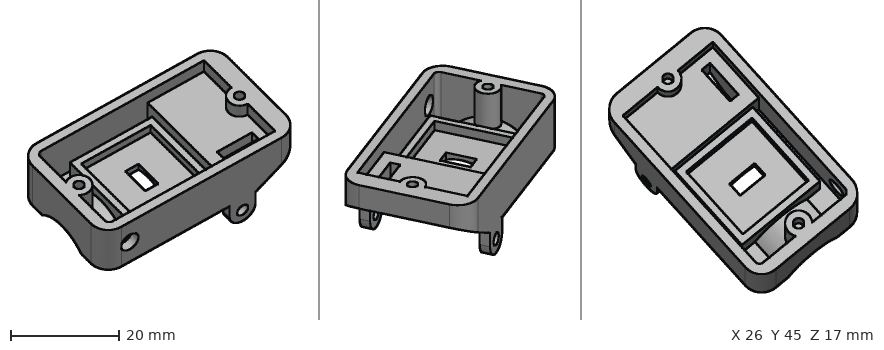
import cadquery as cq

length = 45.0
width = 26.0
body_height = 11.0
corner_radius = 4.0

cavity_width = 21.85
cavity_back = 18.5
cavity_front = -20.0
cavity_corner_radius = 1.0
low_floor = 1.0
shelf_floor = 7.95

platform_side = 19.0
platform_y = -4.0
platform_top = 5.4
pocket_side = 15.98
pocket_floor = 3.4
shelf_edge = platform_y + platform_side / 2

centre_slot_x = 6.08
centre_slot_y = 2.95
side_slot_x = 2.0
side_slot_y = 8.0
side_slot_centre = (7.5, 12.45)

boss_diameter = 5.0
screw_diameter = 2.02
boss_y = 18.5

side_hole_diameter = 3.95
side_hole_y = -16.5
side_hole_z = body_height / 2

groove_radius = 8.5
groove_height = 2.45
groove_axis_z = groove_height - groove_radius
shell_radius = groove_radius + pocket_floor - groove_height

lug_thickness = 2.1
lug_width = 6.0
lug_y = 9.5
lug_drop = 3.0
lug_hole_diameter = 2.5
slope_start = lug_y + lug_width / 2
slope_rise = 5.9


def block(size_x, size_y, bottom, top, x=0, y=0):
    """Rectangular block centred on (x, y), from bottom to top."""
    base = cq.Workplane("XY", origin=(x, y, bottom))
    return base.rect(size_x, size_y).extrude(top - bottom)


def long_cylinder(radius, front, back):
    """Cylinder about the groove axis between two Y positions."""
    base = cq.Workplane("XZ", origin=(0, front, groove_axis_z))
    return base.circle(radius).extrude(front - back)


def hinge_lug(left_x):
    """Rounded lug below one long side, with its pin hole."""
    base = cq.Workplane("YZ", origin=(left_x, lug_y, 0))
    half = lug_width / 2
    lug = (
        base.moveTo(-half, low_floor)
        .lineTo(-half, -lug_drop)
        .threePointArc((0, -lug_drop - half), (half, -lug_drop))
        .lineTo(half, low_floor)
        .close()
        .extrude(lug_thickness)
    )
    hole = base.center(0, -lug_drop).circle(lug_hole_diameter / 2).extrude(lug_thickness)
    return lug.cut(hole)


def slope_cutter():
    """Wedge that slopes the underside up towards the back."""
    return (
        cq.Workplane("YZ", origin=(-width / 2, 0, 0))
        .polyline([(slope_start, 0), (length / 2, slope_rise), (length / 2, 0)])
        .close()
        .extrude(width)
    )


def interior():
    """Empty space of the cavity around its shelf, platform and groove shell."""
    cavity_length = cavity_back - cavity_front
    cavity_y = (cavity_back + cavity_front) / 2
    space = block(cavity_width, cavity_length, low_floor, body_height, y=cavity_y)
    space = space.edges("|Z and <Y").fillet(cavity_corner_radius)
    shelf_length = cavity_back - shelf_edge
    shelf_y = (cavity_back + shelf_edge) / 2
    space = space.cut(block(cavity_width, shelf_length, low_floor, shelf_floor, y=shelf_y))
    space = space.cut(block(platform_side, platform_side, low_floor, platform_top, y=platform_y))
    space = space.cut(long_cylinder(shell_radius, cavity_front, shelf_edge))
    return space.union(block(pocket_side, pocket_side, pocket_floor, platform_top, y=platform_y))


body = block(width, length, 0, body_height).edges("|Z").fillet(corner_radius)
body = body.cut(slope_cutter()).cut(interior())

for y, floor in ((boss_y, shelf_floor), (-boss_y, low_floor)):
    boss = cq.Workplane("XY", origin=(0, y, floor)).circle(boss_diameter / 2).extrude(body_height - floor)
    body = body.union(boss)

body = body.cut(long_cylinder(groove_radius, -length / 2, shelf_edge))

for y in (boss_y, -boss_y):
    hole = cq.Workplane("XY", origin=(0, y, shelf_floor)).circle(screw_diameter / 2)
    body = body.cut(hole.extrude(body_height - shelf_floor))

body = body.cut(block(centre_slot_x, centre_slot_y, 0, body_height, y=platform_y))
body = body.cut(block(side_slot_x, side_slot_y, 0, body_height, *side_slot_centre))

side_hole = cq.Workplane("YZ", origin=(0, side_hole_y, side_hole_z)).circle(side_hole_diameter / 2)
side_hole = side_hole.extrude(width / 2)
side_wall = block(width / 2 - cavity_width / 2, length, 0, body_height, x=(width + cavity_width) / 4)
body = body.cut(side_hole.intersect(side_wall))

for left_x in (-width / 2, width / 2 - lug_thickness):
    body = body.union(hinge_lug(left_x))

result = body